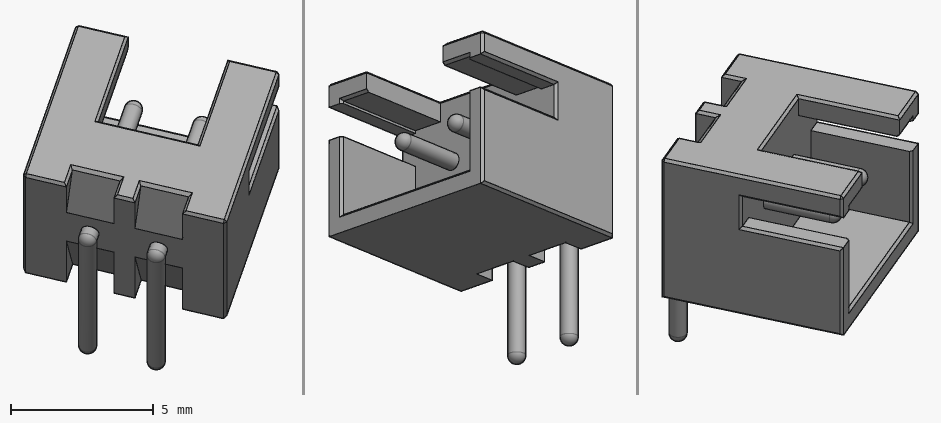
import cadquery as cq

HOUSING_WIDTH = 7.4
HOUSING_DEPTH = 6.81
HOUSING_HEIGHT = 5.8
EDGE_CHAMFER = 0.1

CAVITY_DEPTH = 3.795
SIDE_WALL = 0.7
FLOOR_THICKNESS = 0.7
ROOF_THICKNESS = 0.8
WINDOW_WIDTH = 3.62
SLOT_HEIGHT = 1.25
SLOT_TOP_DROP = 0.9

RECESS_WIDTH = 1.73
RECESS_DEPTH = 0.8
UPPER_RECESS_HEIGHT = 1.63
LOWER_RECESS_HEIGHT = 2.46

PIN_DIAMETER = 0.65
PIN_PITCH = 2.49
TOTAL_HEIGHT = 9.1
PIN_TOP_DROP = 2.14
PIN_TIP_INSET = 1.0

pin_radius = PIN_DIAMETER / 2
pin_axis_z = HOUSING_HEIGHT - PIN_TOP_DROP - pin_radius
pin_leg_y = -pin_radius
pin_tip_y = HOUSING_DEPTH - PIN_TIP_INSET
pin_bottom_z = HOUSING_HEIGHT - TOTAL_HEIGHT
pin_positions = [-PIN_PITCH / 2, PIN_PITCH / 2]

cavity_front_y = HOUSING_DEPTH - CAVITY_DEPTH
cavity_width = HOUSING_WIDTH - 2 * SIDE_WALL
cavity_top_z = HOUSING_HEIGHT - ROOF_THICKNESS
slot_top_z = HOUSING_HEIGHT - SLOT_TOP_DROP
slot_bottom_z = slot_top_z - SLOT_HEIGHT


def box_between(x_range, y_range, z_range):
    """Box spanning the given (low, high) ranges."""
    sizes = [high - low for low, high in (x_range, y_range, z_range)]
    corner = (x_range[0], y_range[0], z_range[0])
    return cq.Workplane("XY").box(*sizes, centered=False).translate(corner)


def centred_range(width):
    return (-width / 2, width / 2)


def make_block():
    return box_between(centred_range(HOUSING_WIDTH), (0, HOUSING_DEPTH), (0, HOUSING_HEIGHT))


def make_cavity():
    """Inner space of the socket, from the pin wall to the open back."""
    return box_between(
        centred_range(cavity_width),
        (cavity_front_y, HOUSING_DEPTH),
        (FLOOR_THICKNESS, cavity_top_z),
    )


def make_roof_window():
    return box_between(
        centred_range(WINDOW_WIDTH),
        (cavity_front_y, HOUSING_DEPTH),
        (cavity_top_z, HOUSING_HEIGHT),
    )


def make_side_slots():
    return box_between(
        centred_range(HOUSING_WIDTH),
        (cavity_front_y, HOUSING_DEPTH),
        (slot_bottom_z, slot_top_z),
    )


def make_recess(x_centre, outer_z, inner_z):
    """Wedge that is deepest at outer_z and runs out to the front face at inner_z."""
    profile = [(0, inner_z), (0, outer_z), (RECESS_DEPTH, outer_z)]
    wedge = cq.Workplane("YZ").polyline(profile).close().extrude(RECESS_WIDTH / 2, both=True)
    return wedge.translate((x_centre, 0, 0))


def make_pin(x):
    """Round right-angle pin with a ball-shaped elbow and ball-shaped ends."""
    elbow = (x, pin_leg_y, pin_axis_z)
    arm_end = (x, pin_tip_y - pin_radius, pin_axis_z)
    leg_end = (x, pin_leg_y, pin_bottom_z + pin_radius)
    arm = cq.Solid.makeCylinder(pin_radius, arm_end[1] - elbow[1], cq.Vector(*elbow), cq.Vector(0, 1, 0))
    leg = cq.Solid.makeCylinder(pin_radius, elbow[2] - leg_end[2], cq.Vector(*elbow), cq.Vector(0, 0, -1))
    pin = cq.Workplane(arm).union(cq.Workplane(leg))
    for centre in (elbow, arm_end, leg_end):
        pin = pin.union(cq.Workplane("XY").sphere(pin_radius).translate(centre))
    return pin


def make_housing(pins):
    housing = make_block().cut(make_cavity())
    mouth = housing.faces(">Y").wires(cq.selectors.LengthNthSelector(0))
    housing = mouth.edges().chamfer(EDGE_CHAMFER)

    housing = housing.cut(make_roof_window()).cut(make_side_slots())
    for x in pin_positions:
        housing = housing.cut(make_recess(x, HOUSING_HEIGHT, HOUSING_HEIGHT - UPPER_RECESS_HEIGHT))

    housing = housing.faces(">Z or <X or >X").edges().chamfer(EDGE_CHAMFER)

    for x in pin_positions:
        housing = housing.cut(make_recess(x, 0, LOWER_RECESS_HEIGHT))
    for pin in pins:
        housing = housing.cut(pin)
    return housing


pins = [make_pin(x) for x in pin_positions]
housing = make_housing(pins)
result = cq.Compound.makeCompound([housing.val(), *[pin.val() for pin in pins]])